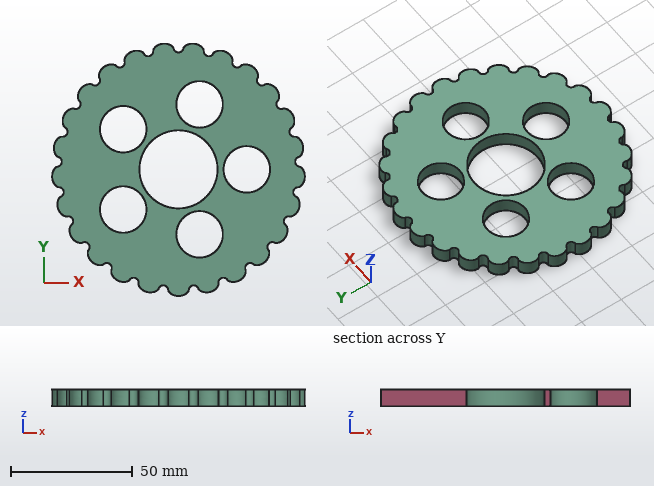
import cadquery as cq
import math

overall_width = 103.8
thickness = 7.0
lobe_count = 25
bore_diameter = 32.0
output_hole_count = 5
output_hole_diameter = 19.0
output_hole_circle_radius = 28.0
points_per_lobe = 17

lobe_pitch = 2 * math.pi / lobe_count
turn_ratio = lobe_count / (lobe_count + 2)
width_factor = (lobe_count + 2) * math.cos(turn_ratio * lobe_pitch / 4) - 1
rolling_radius = overall_width / 2 / width_factor
pin_radius = rolling_radius
cusp_radius = lobe_count * rolling_radius
crest_radius = cusp_radius + 2 * rolling_radius
first_lobe_angle = -math.pi / 2


def polar(radius, angle):
    return (radius * math.cos(angle), radius * math.sin(angle))


def flank_point(normal_angle, lobe_angle=0.0):
    """Point of a lobe whose outward normal is turned normal_angle from the lobe axis."""
    along_normal = crest_radius * math.cos(turn_ratio * normal_angle) - pin_radius
    along_tangent = -crest_radius * turn_ratio * math.sin(turn_ratio * normal_angle)
    direction = lobe_angle + normal_angle
    normal_x, normal_y = polar(1, direction)
    return (
        along_normal * normal_x - along_tangent * normal_y,
        along_normal * normal_y + along_tangent * normal_x,
    )


def flank_end_angle():
    """Normal angle at which the lobe flank meets the notch left by a ring pin."""
    pin_center = polar(cusp_radius, lobe_pitch / 2)
    turn_back_cosine = pin_radius / (crest_radius * (1 - turn_ratio**2))
    outside = 0.0
    inside = math.acos(turn_back_cosine) / turn_ratio
    bisection_steps = 40
    for _ in range(bisection_steps):
        middle = (outside + inside) / 2
        if math.dist(flank_point(middle), pin_center) > pin_radius:
            outside = middle
        else:
            inside = middle
    return outside


def lobe_points(lobe_angle, end_angle):
    step = 2 * end_angle / (points_per_lobe - 1)
    return [flank_point(-end_angle + i * step, lobe_angle) for i in range(points_per_lobe)]


def rim_outline():
    """Closed outline of lobe curves joined by round notches."""
    end_angle = flank_end_angle()
    outline = cq.Workplane("XY").moveTo(*flank_point(-end_angle, first_lobe_angle))
    for i in range(lobe_count):
        lobe_angle = first_lobe_angle + i * lobe_pitch
        next_lobe_angle = lobe_angle + lobe_pitch
        notch_bottom = polar(cusp_radius - pin_radius, lobe_angle + lobe_pitch / 2)
        outline = outline.spline(lobe_points(lobe_angle, end_angle)[1:], includeCurrent=True)
        outline = outline.threePointArc(notch_bottom, flank_point(-end_angle, next_lobe_angle))
    return outline.close()


def bore():
    return cq.Workplane("XY").circle(bore_diameter / 2).extrude(thickness)


def output_holes():
    return (
        cq.Workplane("XY")
        .polarArray(output_hole_circle_radius, 0, 360, output_hole_count)
        .circle(output_hole_diameter / 2)
        .extrude(thickness)
    )


result = rim_outline().extrude(thickness).cut(bore()).cut(output_holes())